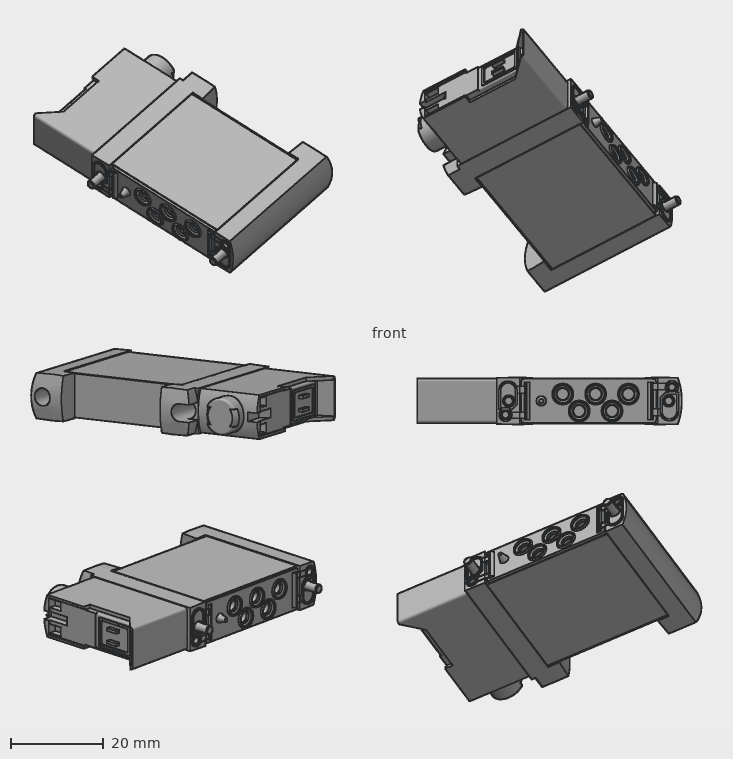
import cadquery as cq


TOTAL_LENGTH = 57.2
THICKNESS = 10.25
HALF_THICKNESS = THICKNESS / 2
FAR = 114.4

BODY_LEFT = 22.15
BODY_RIGHT = 52.0
BODY_CENTRE = (BODY_LEFT + BODY_RIGHT) / 2
BODY_HALF_THICKNESS = 4.9
BODY_BOTTOM = 0.9
BODY_TOP = 27.9
BODY_TOP_CHAMFER_Y = 0.35
BODY_TOP_CHAMFER_Z = 0.1

PLATE_FACE = 0.25
PLATE_HALF_THICKNESS = 4.75
PLATE_INSET = 0.4
PLATE_CORNER = 0.6

BLOCK_LEFT = 17.2
BLOCK_TOP_EDGE = 32.3
BLOCK_TOP_CREST = 33.1
BLOCK_END_BULGE = 0.9
BLOCK_END_FILLET = 0.6
BLOCK_EDGE_HALF_THICKNESS = 10.0 / 2
WING_LENGTH = 2.75
WING_TIP_LENGTH = 2.45

SCREW_DIAMETER = 2.0
SCREW_TIP_DIAMETER = 1.7
SCREW_TIP_LENGTH = 0.3
SCREW_PROJECTION = 3.5
SCREW_SHANK_LENGTH = 20.0
SCREW_HEAD_DIAMETER = 3.8
SCREW_HEAD_HEIGHT = 2.0
SCREW_X = 19.8
SCREW_HOLE_DIAMETER = 2.5
SCREW_HEAD_BORE_DIAMETER = 3.9
SCREW_SEAT_Y = SCREW_SHANK_LENGTH - SCREW_PROJECTION

RIDGE_HEIGHT = 0.25
RIDGE_WIDTH = 0.4
LOOP_LEFT = 17.7
LOOP_RIGHT = 21.6
LOOP_TOP = 4.3
LOOP_BOTTOM = -1.85
LOOP_CORNER_CUT = 1.15
PILOT_PORT_X = 19.1
PILOT_PORT_Z = -3.0
PILOT_RING_OUTER = 2.8
PILOT_RING_INNER = 2.0
PILOT_PORT_DIAMETER = 1.5
PILOT_PORT_DEPTH = 1.7
BRIDGE_HEIGHT = 0.1
BRIDGE_END_X = 23.2
UPPER_BRIDGE_START_X = 21.45
UPPER_BRIDGE_Z = (1.7, 3.2)
LOWER_BRIDGE_START_X = 20.2
LOWER_BRIDGE_Z = (-3.8, -2.45)

BAR_SECTION = [(23.15, PLATE_FACE), (23.35, -0.35), (23.7, -0.35), (24.4, PLATE_FACE)]
BAR_HALF_LENGTH = 4.0

PORT_PITCH = 7.1
UPPER_ROW_X = 31.45
UPPER_ROW_Z = 1.5
LOWER_ROW_Z = -2.2
PORT_BORE_DIAMETER = 2.5
PORT_SEAT_DIAMETER = 2.8
PORT_LIP_INNER = 3.8
PORT_LIP_OUTER = 4.2
PORT_RING_DIAMETER = 4.6
PORT_RING_HEIGHT = 0.4
PORT_FUNNEL_DEPTH = 0.35
PORT_SEAT_DEPTH = 0.9
PORT_DEPTH = 2.3

CONE_X = 26.85
CONE_DIAMETER = 2.1
CONE_TIP_DIAMETER = 0.85
CONE_TIP_Y = -1.65

HOUSING_HALF_THICKNESS = 4.85
HOUSING_BOTTOM = 0.85
HOUSING_BOTTOM_FILLET = 0.7
HOUSING_TOP_EDGE = 28.4
HOUSING_TOP_CREST = 29.35
HOUSING_FRONT = 2.4
SIDE_WALL_NOTCH_X = 4.3
SIDE_WALL_NOTCH_BOTTOM = 5.85
SIDE_WALL_NOTCH_TOP = 17.55
FLANGE_TIP_Y = 1.6
CORE_HALF_THICKNESS = 4.0
CORE_FRONT = 2.8
CORE_LOWER_FRONT = 3.7
CORE_BOTTOM = 2.1
FLANGE_INNER_TIP_Y = 1.15
FRONT_PANEL_HALF_WIDTH = 4.3
FRONT_PANEL_TOP = 28.0

CONNECTOR_TOP = 14.55
CONNECTOR_BOTTOM = 4.2
CONNECTOR_RIM_BOTTOM = 4.45
CONNECTOR_STEP_X = 3.0
CONNECTOR_EDGE_FILLET = 0.35
CONNECTOR_RIM_HALF_WIDTH = 3.4
CONNECTOR_RIM_TOP = 13.6
CONNECTOR_RIM_CORNER = 0.45
SOCKET_INSET = 0.6
SOCKET_DEPTH = 0.4
BLADE_TIP_X = 2.25
BLADE_BOTTOM = 7.85
BLADE_TOP = 10.65
BLADE_INNER_Z = 1.15
BLADE_THICKNESS = 0.65

SLOT_WIDTH = 2.0
SLOT_FLOOR_X = 4.7
SLOT_RAMP_TOP = 24.8
SLOT_RAMP_BOTTOM = 22.9
WINDOW_Y = (24.85, 28.0)
WINDOW_Z = (1.9, 3.95)
WINDOW_DEPTH = 1.7

BUTTON_X = 9.8
BUTTON_DIAMETER = 8.1
BUTTON_RIM_FILLET = 0.6
BUTTON_TOP_Y = 32.5
BUTTON_NOTCH_WIDTH = 3.85
BUTTON_NOTCH_DEPTH = 1.2
BUTTON_NOTCH_INSET = 1.0


def box(x, y, z):
    """Box between the given (low, high) limits along each axis."""
    block = cq.Workplane("XY").box(x[1] - x[0], y[1] - y[0], z[1] - z[0], centered=False)
    return block.translate((x[0], y[0], z[0]))


def slab(points, half_thickness):
    """XY outline extruded symmetrically about Z = 0."""
    return cq.Workplane("XY").polyline(points).close().extrude(half_thickness, both=True)


def disc(x, z, diameter, y):
    """Cylinder along Y between the given (low, high) limits."""
    plane = cq.Workplane("XZ", origin=(x, y[0], z))
    return plane.circle(diameter / 2).extrude(y[0] - y[1])


def turned(x, z, profile):
    """Solid of revolution about the Y line through (x, z), from (radius, Y) points."""
    shape = cq.Workplane("XY").polyline(profile).close().revolve(360, (0, 0, 0), (0, 1, 0))
    return shape.translate((x, 0, z))


def half_turn(shape):
    """Copy turned by 180 degrees about the Y line through the body centre."""
    return shape.rotate((BODY_CENTRE, 0, 0), (BODY_CENTRE, 1, 0), 180)


def mirrored_in_z(shape):
    return shape.union(shape.mirror("XY"))


def under_top_arc(edge_y, crest_y, half_width, bottom_y):
    """Everything above bottom_y and under an arched top that crests at Z = 0."""
    return (
        cq.Workplane("YZ")
        .moveTo(bottom_y, -half_width)
        .lineTo(edge_y, -half_width)
        .threePointArc((crest_y, 0), (edge_y, half_width))
        .lineTo(bottom_y, half_width)
        .close()
        .extrude(FAR, both=True)
    )


def before_end_arc(crest_x):
    """Everything inside an arched end face that crests at crest_x on the +X side."""
    return (
        cq.Workplane("XZ")
        .moveTo(0, -HALF_THICKNESS)
        .lineTo(crest_x - BLOCK_END_BULGE, -HALF_THICKNESS)
        .threePointArc((crest_x, 0), (crest_x - BLOCK_END_BULGE, HALF_THICKNESS))
        .lineTo(0, HALF_THICKNESS)
        .close()
        .extrude(FAR, both=True)
        .edges("|Y")
        .fillet(BLOCK_END_FILLET)
    )


def centre_block():
    block = box(
        (BODY_LEFT, BODY_RIGHT),
        (BODY_BOTTOM, BODY_TOP),
        (-BODY_HALF_THICKNESS, BODY_HALF_THICKNESS),
    )
    top_edges = block.faces(">Y").edges("|X")
    return top_edges.chamfer(BODY_TOP_CHAMFER_Z, BODY_TOP_CHAMFER_Y)


def port_plate():
    plate = box(
        (BODY_LEFT + PLATE_INSET, BODY_RIGHT - PLATE_INSET),
        (PLATE_FACE, BODY_BOTTOM),
        (-PLATE_HALF_THICKNESS, PLATE_HALF_THICKNESS),
    )
    return plate.edges("|Y").fillet(PLATE_CORNER)


def end_block(end_x):
    """Left end block with its wing over the valve body, reaching out to end_x."""
    wing_end = BODY_LEFT + WING_LENGTH
    section = (
        cq.Workplane("XZ")
        .moveTo(end_x, -BLOCK_EDGE_HALF_THICKNESS)
        .lineTo(BODY_LEFT, -HALF_THICKNESS)
        .lineTo(wing_end, -BLOCK_EDGE_HALF_THICKNESS)
        .lineTo(wing_end, BLOCK_EDGE_HALF_THICKNESS)
        .lineTo(BODY_LEFT, HALF_THICKNESS)
        .lineTo(end_x, BLOCK_EDGE_HALF_THICKNESS)
        .close()
        .extrude(-BLOCK_TOP_CREST)
    )
    outline = slab(
        [
            (end_x, 0),
            (BODY_LEFT, 0),
            (BODY_LEFT, BODY_TOP),
            (wing_end, BODY_TOP),
            (BODY_LEFT + WING_TIP_LENGTH, BLOCK_TOP_CREST),
            (end_x, BLOCK_TOP_CREST),
        ],
        HALF_THICKNESS,
    )
    arch = under_top_arc(BLOCK_TOP_EDGE, BLOCK_TOP_CREST, HALF_THICKNESS, 0)
    return section.intersect(outline).intersect(arch)


def left_end_block():
    """The outer end face is arched only where it stands clear above the pilot housing."""
    arched_end = before_end_arc(BLOCK_LEFT).mirror("YZ", (BLOCK_LEFT, 0, 0))
    flat_part = box((0, FAR), (-FAR, HOUSING_TOP_CREST), (-FAR, FAR))
    return end_block(BLOCK_LEFT).intersect(arched_end.union(flat_part))


def right_end_block():
    block = half_turn(end_block(2 * BODY_CENTRE - TOTAL_LENGTH))
    return block.intersect(before_end_arc(TOTAL_LENGTH))


def loop_outline(inset):
    """Ridge loop around the screw: round at the top, one bottom corner cut off."""
    left = LOOP_LEFT + inset
    right = LOOP_RIGHT - inset
    top = LOOP_TOP - inset
    bottom = LOOP_BOTTOM + inset
    radius = (right - left) / 2
    return (
        cq.Workplane("XZ")
        .moveTo(left, bottom)
        .lineTo(left, top - radius)
        .threePointArc(((left + right) / 2, top), (right, top - radius))
        .lineTo(right, bottom + LOOP_CORNER_CUT)
        .lineTo(right - LOOP_CORNER_CUT, bottom)
        .close()
        .extrude(RIDGE_HEIGHT)
    )


def face_ridges():
    """Raised loop and ring on the left end block, with bridges stepping down to the port plate."""
    loop = loop_outline(0).cut(loop_outline(RIDGE_WIDTH))
    ridge = (-RIDGE_HEIGHT, 0)
    ring = disc(PILOT_PORT_X, PILOT_PORT_Z, PILOT_RING_OUTER, ridge)
    ring = ring.cut(disc(PILOT_PORT_X, PILOT_PORT_Z, PILOT_RING_INNER, ridge))
    ridges = loop.union(ring)
    for start_x, bridge_z in (
        (UPPER_BRIDGE_START_X, UPPER_BRIDGE_Z),
        (LOWER_BRIDGE_START_X, LOWER_BRIDGE_Z),
    ):
        ridges = ridges.union(box((start_x, BODY_LEFT), (-BRIDGE_HEIGHT, 0), bridge_z))
        ridges = ridges.union(box((BODY_LEFT, BRIDGE_END_X), (0, BODY_BOTTOM), bridge_z))
    return ridges


def snap_bar():
    return slab(BAR_SECTION, BAR_HALF_LENGTH)


def pilot_port():
    return disc(PILOT_PORT_X, PILOT_PORT_Z, PILOT_PORT_DIAMETER, (0, PILOT_PORT_DEPTH))


def port_positions():
    upper = [(UPPER_ROW_X + i * PORT_PITCH, UPPER_ROW_Z) for i in range(3)]
    lower = [(UPPER_ROW_X + (i + 0.5) * PORT_PITCH, LOWER_ROW_Z) for i in range(2)]
    return upper + lower


def port_ring(x, z):
    crest = PLATE_FACE - PORT_RING_HEIGHT
    return turned(
        x,
        z,
        [
            (0, PLATE_FACE + PORT_SEAT_DEPTH),
            (PORT_RING_DIAMETER / 2, PLATE_FACE + PORT_SEAT_DEPTH),
            (PORT_RING_DIAMETER / 2, PLATE_FACE),
            (PORT_LIP_OUTER / 2, crest),
            (0, crest),
        ],
    )


def port_bore(x, z):
    crest = PLATE_FACE - PORT_RING_HEIGHT
    return turned(
        x,
        z,
        [
            (0, crest),
            (PORT_LIP_INNER / 2, crest),
            (PORT_LIP_INNER / 2, PLATE_FACE),
            (PORT_SEAT_DIAMETER / 2, PLATE_FACE + PORT_FUNNEL_DEPTH),
            (PORT_SEAT_DIAMETER / 2, PLATE_FACE + PORT_SEAT_DEPTH),
            (PORT_BORE_DIAMETER / 2, PLATE_FACE + PORT_SEAT_DEPTH),
            (PORT_BORE_DIAMETER / 2, PLATE_FACE + PORT_DEPTH),
            (0, PLATE_FACE + PORT_DEPTH),
        ],
    )


def locating_cone():
    return turned(
        CONE_X,
        0,
        [
            (0, PLATE_FACE),
            (CONE_DIAMETER / 2, PLATE_FACE),
            (CONE_TIP_DIAMETER / 2, CONE_TIP_Y),
            (0, CONE_TIP_Y),
        ],
    )


def screw_hole():
    """Clearance hole with a deep bore from the top for the screw head."""
    shank_hole = disc(SCREW_X, 0, SCREW_HOLE_DIAMETER, (0, SCREW_SEAT_Y))
    head_bore = disc(SCREW_X, 0, SCREW_HEAD_BORE_DIAMETER, (SCREW_SEAT_Y, BLOCK_TOP_CREST))
    return shank_hole.union(head_bore)


def head_bore_opening():
    """Opens the left head bore to the outer end face above the pilot housing."""
    half_width = SCREW_HEAD_BORE_DIAMETER / 2
    return box((0, SCREW_X), (HOUSING_TOP_CREST, BLOCK_TOP_CREST), (-half_width, half_width))


def make_valve_body():
    body = centre_block().union(port_plate()).union(left_end_block()).union(right_end_block())
    for additions in (face_ridges(), snap_bar()):
        body = body.union(additions).union(half_turn(additions))
    for hole in (screw_hole(), pilot_port()):
        body = body.cut(hole).cut(half_turn(hole))
    body = body.cut(head_bore_opening())
    for x, z in port_positions():
        body = body.union(port_ring(x, z))
    for x, z in port_positions():
        body = body.cut(port_bore(x, z))
    return body.union(locating_cone())


def housing_shell():
    """Outer block with the side wall outline cut through the full thickness."""
    block = slab(
        [
            (0, HOUSING_BOTTOM),
            (0, FLANGE_TIP_Y),
            (SIDE_WALL_NOTCH_X, SIDE_WALL_NOTCH_BOTTOM),
            (SIDE_WALL_NOTCH_X, SIDE_WALL_NOTCH_TOP),
            (HOUSING_FRONT, SIDE_WALL_NOTCH_TOP),
            (HOUSING_FRONT, HOUSING_TOP_CREST),
            (BLOCK_LEFT, HOUSING_TOP_CREST),
            (BLOCK_LEFT, HOUSING_BOTTOM),
        ],
        HOUSING_HALF_THICKNESS,
    )
    block = block.faces("<Y").edges("|X").fillet(HOUSING_BOTTOM_FILLET)
    arch = under_top_arc(HOUSING_TOP_EDGE, HOUSING_TOP_CREST, HOUSING_HALF_THICKNESS, HOUSING_BOTTOM)
    return block.intersect(arch)


def flange_recess():
    """Space between the side walls, in front of the core and above the bottom flange."""
    return slab(
        [
            (0, FLANGE_INNER_TIP_Y),
            (CORE_LOWER_FRONT, CORE_BOTTOM),
            (CORE_LOWER_FRONT, CONNECTOR_BOTTOM),
            (CORE_FRONT, CONNECTOR_BOTTOM),
            (CORE_FRONT, SIDE_WALL_NOTCH_TOP),
            (0, SIDE_WALL_NOTCH_TOP),
        ],
        CORE_HALF_THICKNESS,
    )


def connector_core():
    """Block that fills the side wall notch between the two side walls."""
    z = (-CORE_HALF_THICKNESS, CORE_HALF_THICKNESS)
    upper = box((CORE_FRONT, SIDE_WALL_NOTCH_X), (CONNECTOR_BOTTOM, SIDE_WALL_NOTCH_TOP), z)
    lower = box((CORE_LOWER_FRONT, SIDE_WALL_NOTCH_X), (CORE_BOTTOM, CONNECTOR_BOTTOM), z)
    return upper.union(lower)


def rounded_front_block(x, inset):
    """Block with rounded corners on the connector axis, inset from the connector rim."""
    half_width = CONNECTOR_RIM_HALF_WIDTH - inset
    block = box(
        x,
        (CONNECTOR_RIM_BOTTOM + inset, CONNECTOR_RIM_TOP - inset),
        (-half_width, half_width),
    )
    return block.edges("|X").fillet(CONNECTOR_RIM_CORNER)


def connector_step():
    """Lowered band around the connector rim, with both long edges of the core rounded."""
    y = (CONNECTOR_BOTTOM, CONNECTOR_TOP)
    z = (-CORE_HALF_THICKNESS, CORE_HALF_THICKNESS)
    kept_core = box((CONNECTOR_STEP_X, SIDE_WALL_NOTCH_X), y, z)
    kept_core = kept_core.faces("<X").edges("|Y").fillet(CONNECTOR_EDGE_FILLET)
    kept_rim = rounded_front_block((CORE_FRONT, SIDE_WALL_NOTCH_X), 0)
    return box((CORE_FRONT, SIDE_WALL_NOTCH_X), y, z).cut(kept_core).cut(kept_rim)


def connector_socket():
    return rounded_front_block((CORE_FRONT, CORE_FRONT + SOCKET_DEPTH), SOCKET_INSET)


def connector_blades():
    return mirrored_in_z(
        box(
            (BLADE_TIP_X, CORE_FRONT + SOCKET_DEPTH),
            (BLADE_BOTTOM, BLADE_TOP),
            (BLADE_INNER_Z, BLADE_INNER_Z + BLADE_THICKNESS),
        )
    )


def front_panel_recess():
    return box(
        (HOUSING_FRONT, CORE_FRONT),
        (SIDE_WALL_NOTCH_TOP, FRONT_PANEL_TOP),
        (-FRONT_PANEL_HALF_WIDTH, FRONT_PANEL_HALF_WIDTH),
    )


def front_slot():
    """Central slot, open at the top, that runs out in a ramp at its lower end."""
    return slab(
        [
            (HOUSING_FRONT, SLOT_RAMP_BOTTOM),
            (CORE_FRONT, SLOT_RAMP_BOTTOM),
            (SLOT_FLOOR_X, SLOT_RAMP_TOP),
            (SLOT_FLOOR_X, FAR),
            (HOUSING_FRONT, FAR),
        ],
        SLOT_WIDTH / 2,
    )


def front_windows():
    return mirrored_in_z(box((CORE_FRONT, CORE_FRONT + WINDOW_DEPTH), WINDOW_Y, WINDOW_Z))


def button():
    """Round button with a rounded rim and a sloping notch on its -X and +X sides."""
    radius = BUTTON_DIAMETER / 2
    notch_y = BUTTON_TOP_Y - BUTTON_NOTCH_DEPTH
    cap = disc(BUTTON_X, 0, BUTTON_DIAMETER, (HOUSING_TOP_EDGE, BUTTON_TOP_Y))
    cap = cap.faces(">Y").edges().fillet(BUTTON_RIM_FILLET)
    cone = turned(
        BUTTON_X,
        0,
        [
            (0, notch_y),
            (radius, notch_y),
            (radius - BUTTON_NOTCH_INSET, BUTTON_TOP_Y),
            (0, BUTTON_TOP_Y),
        ],
    )
    half_width = BUTTON_NOTCH_WIDTH / 2
    notches = box(
        (BUTTON_X - radius, BUTTON_X + radius),
        (notch_y, BUTTON_TOP_Y),
        (-half_width, half_width),
    ).cut(cone)
    return cap.cut(notches)


def make_pilot_housing():
    housing = housing_shell().cut(flange_recess()).union(connector_core())
    for pocket in (
        connector_step(),
        connector_socket(),
        front_panel_recess(),
        front_slot(),
        front_windows(),
    ):
        housing = housing.cut(pocket)
    return housing.union(connector_blades()).union(button())


def make_screw(x):
    tip_y = -SCREW_PROJECTION
    head_top = SCREW_SEAT_Y + SCREW_HEAD_HEIGHT
    radius = SCREW_DIAMETER / 2
    head_radius = SCREW_HEAD_DIAMETER / 2
    return turned(
        x,
        0,
        [
            (0, tip_y),
            (SCREW_TIP_DIAMETER / 2, tip_y),
            (radius, tip_y + SCREW_TIP_LENGTH),
            (radius, SCREW_SEAT_Y),
            (head_radius, SCREW_SEAT_Y),
            (head_radius, head_top),
            (0, head_top),
        ],
    )


valve_body = make_valve_body()
pilot_housing = make_pilot_housing()
screws = [make_screw(x) for x in (SCREW_X, 2 * BODY_CENTRE - SCREW_X)]

result = cq.Compound.makeCompound(
    [valve_body.val(), pilot_housing.val(), *[screw.val() for screw in screws]]
)